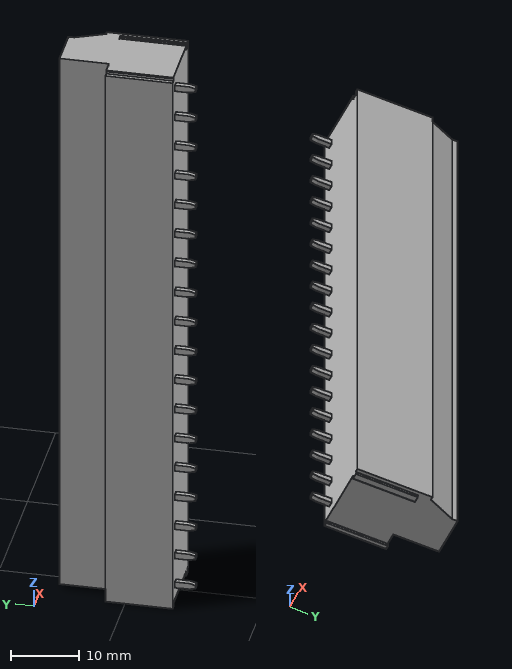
import cadquery as cq

overall_length = 90.65
tab_height = 0.6
body_length = overall_length - tab_height
body_width = 11.2
overall_depth = 20.6
body_depth = 17.5

shoulder_width = 2.45
shoulder_depth = 10.1
back_right = 8.8
bevel_start_drop = 0.9
bevel_end_drop = 5.3
bevel_end_x = 10.7

neck_width = 0.8
head_width = 1.3
tip_width = 1.0
head_drop = 0.4
joint_center_x = 10.2
edge_neck_width = 0.5
edge_head_width = edge_neck_width + (head_width - neck_width) / 2
edge_tip_width = edge_neck_width + (tip_width - neck_width) / 2

pole_count = 18
pitch = body_length / pole_count
pin_x = 2.1
pin_width = 0.8
pin_height = 1.0
pin_length = overall_depth - body_depth
pin_tip_length = 0.9
pin_tip_height = 0.5
pin_embed = 0.9


def make_body():
    """Stepped housing outline extruded along Z, front face at Y = 0."""
    outline = [
        (0, 0),
        (body_width, 0),
        (body_width, body_depth - bevel_end_drop),
        (bevel_end_x, body_depth - bevel_end_drop),
        (back_right, body_depth - bevel_start_drop),
        (back_right, body_depth),
        (shoulder_width, body_depth),
        (shoulder_width, shoulder_depth),
        (0, shoulder_depth),
    ]
    return cq.Workplane("XY").polyline(outline).close().extrude(body_length)


def make_joints(neck_z):
    """Snap bar and half snap bar along the left edge, widest just below the neck at neck_z."""
    head_z = neck_z - head_drop
    tip_z = neck_z - tab_height
    snap_profile = [
        (joint_center_x - neck_width / 2, neck_z),
        (joint_center_x + neck_width / 2, neck_z),
        (joint_center_x + head_width / 2, head_z),
        (joint_center_x + tip_width / 2, tip_z),
        (joint_center_x - tip_width / 2, tip_z),
        (joint_center_x - head_width / 2, head_z),
    ]
    edge_profile = [
        (0, neck_z),
        (edge_neck_width, neck_z),
        (edge_head_width, head_z),
        (edge_tip_width, tip_z),
        (0, tip_z),
    ]
    plane = cq.Workplane("XZ")
    snap_bar = plane.polyline(snap_profile).close().extrude(-shoulder_depth)
    edge_bar = plane.polyline(edge_profile).close().extrude(-shoulder_depth)
    return snap_bar.union(edge_bar)


def make_pin(z):
    """Rectangular pin pointing to -Y, its tip tapered in height."""
    half = pin_height / 2
    tip_half = pin_tip_height / 2
    taper_y = pin_tip_length - pin_length
    side = [
        (pin_embed, z - half),
        (taper_y, z - half),
        (-pin_length, z - tip_half),
        (-pin_length, z + tip_half),
        (taper_y, z + half),
        (pin_embed, z + half),
    ]
    left_face = cq.Workplane("YZ", origin=(pin_x - pin_width / 2, 0, 0))
    return left_face.polyline(side).close().extrude(pin_width)


result = make_body().cut(make_joints(body_length)).union(make_joints(0))
for pole in range(pole_count):
    result = result.union(make_pin((pole + 0.5) * pitch))